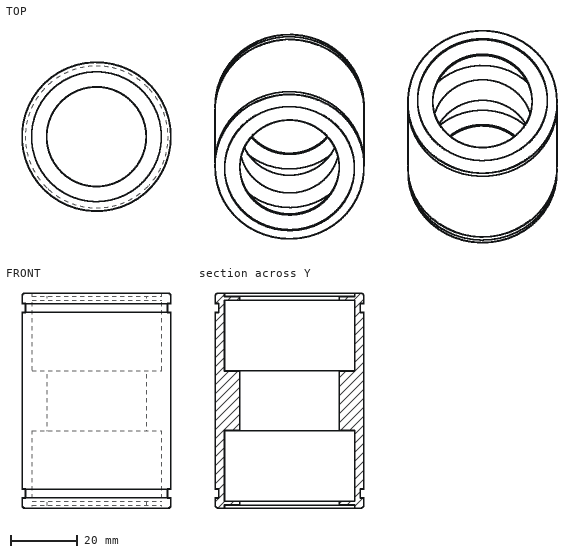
import cadquery as cq

outer_diameter = 45.0
bore_diameter = 30.0
length = 65.0
rim_fillet = 1.0

groove_diameter = 43.0
groove_width = 2.65
groove_end_distance = 3.2

inner_diameter = 39.2

recess_depth = 1.0
lip_thickness = 1.2

middle_land_length = 18.0

half_length = length / 2


def disc(diameter, bottom, top):
    """Solid cylinder on the Z axis between two heights."""
    return cq.Workplane("XY").workplane(offset=bottom).circle(diameter / 2).extrude(top - bottom)


def both_ends(upper_cut):
    """The upper-end cut together with its mirror image at the lower end."""
    return upper_cut.union(upper_cut.mirror("XY"))


def body():
    """Outer cylinder with rounded end rims and a through bore."""
    cylinder = disc(outer_diameter, -half_length, half_length)
    rounded = cylinder.faces("<Z or >Z").edges().fillet(rim_fillet)
    return rounded.cut(disc(bore_diameter, -half_length, half_length))


def groove():
    """Ring of material removed for the upper retaining-ring groove."""
    top = half_length - groove_end_distance
    bottom = top - groove_width
    return disc(outer_diameter, bottom, top).cut(disc(groove_diameter, bottom, top))


def recess():
    """Shallow counterbore in the upper end face."""
    return disc(inner_diameter, half_length - recess_depth, half_length)


def chamber():
    """Internal chamber between the upper lip and the middle land."""
    top = half_length - recess_depth - lip_thickness
    return disc(inner_diameter, middle_land_length / 2, top)


result = (
    body()
    .cut(both_ends(groove()))
    .cut(both_ends(recess()))
    .cut(both_ends(chamber()))
)